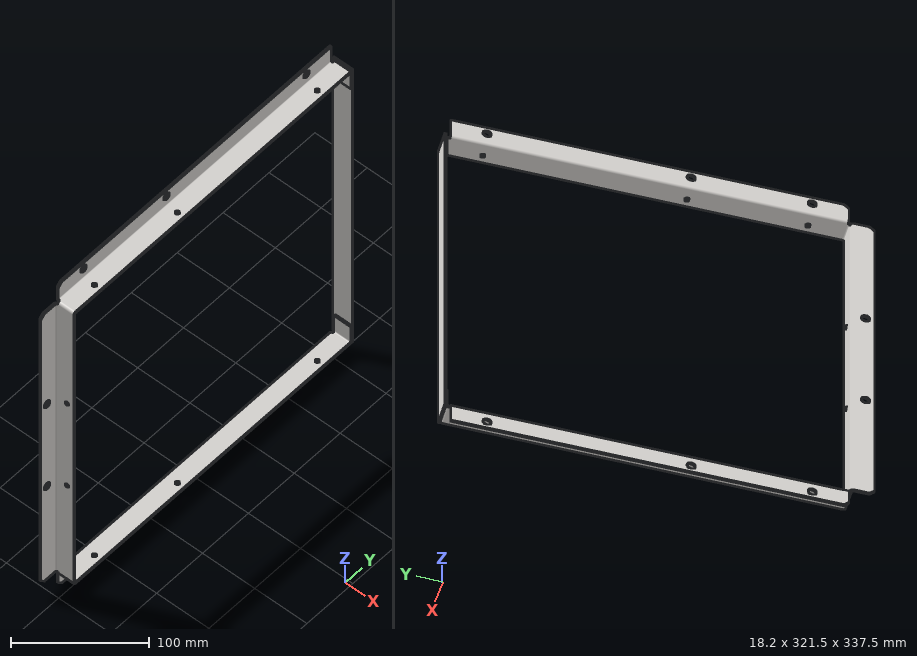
import cadquery as cq
import math

DEPTH = 18.2
OVERALL_Y = 321.5
OVERALL_Z = 337.5
SHEET = 1.5
BEND_INNER = 1.0
FLANGE = 16.5
TAB_LENGTH = 19.0
FLANGE_END_GAP = 4.7
FLANGE_CHAMFER = 3.7

FLANGE_HOLE = 6.5
FLANGE_HOLE_EDGE = 6.8
WEB_HOLE = 3.5
WEB_HOLE_X = 11.8
LONG_HOLES_Y = (46.5, 137.0, 289.5)
SIDE_HOLE_Z = 46.0

BEND_OUTER = BEND_INNER + SHEET
WEB_Z = OVERALL_Z / 2 - FLANGE
FRAME_END_Y = OVERALL_Y - SHEET
BEND_TANGENT_Y = FLANGE + BEND_OUTER
LONG_FLANGE_END = OVERALL_Y - FLANGE_END_GAP
SIDE_FLANGE_HALF = WEB_Z - BEND_OUTER


def web_band():
    """Bent strip of three webs and two end tabs, behind the flange bends."""
    length_y = FRAME_END_Y - FLANGE
    center_y = FLANGE + length_y / 2
    depth = DEPTH - BEND_OUTER

    def rounded_block(inset, radius):
        block = cq.Workplane("XY").box(depth, length_y - 2 * inset, 2 * (WEB_Z - inset))
        return block.edges("|X").fillet(radius).translate((BEND_OUTER + depth / 2, center_y, 0))

    ring = rounded_block(0, BEND_OUTER).cut(rounded_block(SHEET, BEND_INNER))
    tab_gap = cq.Workplane("XY").box(DEPTH, 2 * BEND_OUTER, 2 * (WEB_Z - TAB_LENGTH))
    return ring.cut(tab_gap.translate((DEPTH / 2 + BEND_OUTER, FRAME_END_Y, 0)))


def flange_sheet(plane, length):
    """Flange and its bend; local x is depth, local y points outward from the web's outer face."""
    mid = math.sqrt(0.5)
    bend_center = (BEND_OUTER, BEND_INNER)

    def bend_middle(radius):
        return (bend_center[0] - radius * mid, bend_center[1] - radius * mid)

    return (
        cq.Workplane(plane)
        .moveTo(0, FLANGE)
        .lineTo(0, BEND_INNER)
        .threePointArc(bend_middle(BEND_OUTER), (BEND_OUTER, -SHEET))
        .lineTo(BEND_OUTER, 0)
        .threePointArc(bend_middle(BEND_INNER), (SHEET, BEND_INNER))
        .lineTo(SHEET, FLANGE)
        .close()
        .extrude(length)
    )


def long_flange():
    """Top flange with one chamfered corner, next to the flanged side."""
    plane = cq.Plane(origin=(0, LONG_FLANGE_END, WEB_Z), xDir=(1, 0, 0), normal=(0, -1, 0))
    flange = flange_sheet(plane, LONG_FLANGE_END - BEND_TANGENT_Y)
    return flange.faces(">Z").edges("<Y").chamfer(FLANGE_CHAMFER)


def side_flange():
    """Flange of the upright web, chamfered at both ends."""
    plane = cq.Plane(origin=(0, FLANGE, -SIDE_FLANGE_HALF), xDir=(1, 0, 0), normal=(0, 0, 1))
    flange = flange_sheet(plane, 2 * SIDE_FLANGE_HALF).mirror("XZ", (0, FLANGE, 0))
    return flange.faces("<Y").edges("<Z or >Z").chamfer(FLANGE_CHAMFER)


def flange_holes():
    """Cutters along X through the three flanges."""
    hole_z = OVERALL_Z / 2 - FLANGE_HOLE_EDGE
    points = [(y, side * hole_z) for y in LONG_HOLES_Y for side in (-1, 1)]
    points += [(FLANGE_HOLE_EDGE, side * SIDE_HOLE_Z) for side in (-1, 1)]
    return cq.Workplane("YZ").pushPoints(points).circle(FLANGE_HOLE / 2).extrude(DEPTH)


def long_web_holes():
    """Vertical cutters through the top and bottom webs."""
    points = [(WEB_HOLE_X, y) for y in LONG_HOLES_Y]
    return cq.Workplane("XY").pushPoints(points).circle(WEB_HOLE / 2).extrude(OVERALL_Z / 2, both=True)


def side_web_holes():
    """Cutters along Y through the upright flanged web."""
    points = [(WEB_HOLE_X, side * SIDE_HOLE_Z) for side in (-1, 1)]
    return cq.Workplane("XZ").pushPoints(points).circle(WEB_HOLE / 2).extrude(-2 * FLANGE)


def make_frame():
    top_flange = long_flange()
    frame = web_band().union(top_flange).union(top_flange.mirror("XY")).union(side_flange())
    return frame.cut(flange_holes()).cut(long_web_holes()).cut(side_web_holes())


def make_closing_strip():
    """Flat strip that closes the open side of the frame, outside its tabs."""
    strip = cq.Workplane("XY").box(DEPTH, SHEET, 2 * WEB_Z)
    return strip.translate((DEPTH / 2, OVERALL_Y - SHEET / 2, 0))


frame = make_frame()
closing_strip = make_closing_strip()
result = cq.Compound.makeCompound([frame.val(), closing_strip.val()])